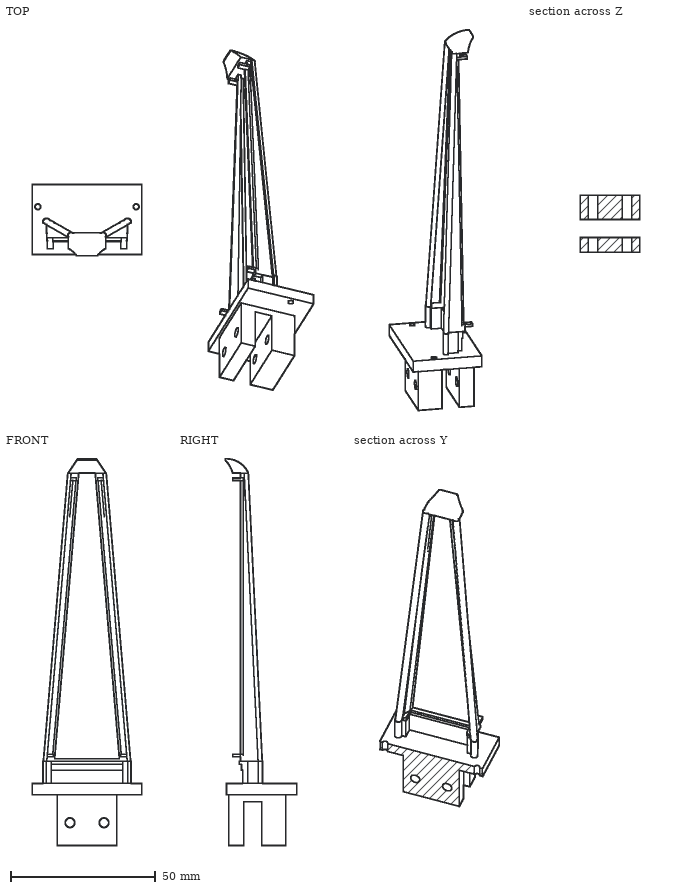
import cadquery as cq
import math

PLATE_X, PLATE_Y, PLATE_T = 38.1, 24.5, 4.0
PLATE_Z = 17.6
PLATE_TOP = PLATE_Z + PLATE_T
PLATE_HOLE_X, PLATE_HOLE_Y, PLATE_HOLE_D = 17.0, 4.4, 1.9

FORK_X = 20.8
FORK_BACK, FORK_FRONT = 8.5, -11.4
SLOT_BACK, SLOT_FRONT, SLOT_TOP = 0.0, -6.2, 15.2
FORK_HOLE_X, FORK_HOLE_Z, FORK_HOLE_D = 5.9, 7.9, 3.2

TOTAL_Z = 134.2
ARM_Z = 29.3
ARM_TOP = 129.3

SPINE_WIDTH, SPINE_DEPTH, SPINE_ROUND = 2.4, 1.5, 1.1
SPINE_OVERHANG = 1.2
ARM_WIDTH = 3.9
WALL_T = 0.8
RIB_SHARE = 0.4
ARM_OUTER_BASE, ARM_OUTER_TOP = 15.2, 6.7
ARM_BACK_BASE, ARM_BACK_TOP = 0.3, -4.5
ARM_FRONT = -7.4
FOOT_MARGIN = 0.1
FOOT_OUTER = ARM_OUTER_BASE + FOOT_MARGIN
FOOT_BACK = ARM_BACK_BASE + FOOT_MARGIN
FOOT_FRONT = -4.8

STEP_WIDTH, STEP_DEPTH = 1.9, 1.1

PIN_WIDTH, PIN_HEIGHT, PIN_FRONT = 2.0, 1.0, -10.1
LOW_PIN_Z, HIGH_PIN_Z = 31.3, 127.1

GUSSET_TOP = 31.3

BAR_HALF_X = 12.4
BAR_BACK, BAR_RIDGE_BACK = -4.7, -5.8
BAR_FACE, BAR_MID, BAR_LIP = -6.6, -7.0, -7.8
BAR_MID_Z, BAR_LIP_Z, BAR_TOP = 26.2, 28.2, 30.2

HOOK_BACK, HOOK_FRONT, HOOK_TIP = -4.5, -10.1, -12.6
HOOK_TIP_T = 0.5
HOOK_CROWN = (-7.1, 132.5)
HOOK_HOLLOW = (-11.0, 131.5)
HOOK_BASE_HALF_X, HOOK_TIP_HALF_X = 6.6, 3.2
HOOK_ROUND = 0.8


def block(x0, x1, y0, y1, z0, z1):
    """Axis-aligned box between two corners."""
    return cq.Workplane("XY").box(x1 - x0, y1 - y0, z1 - z0, centered=False).translate((x0, y0, z0))


def arm_place(z):
    """Outer X and back Y of the arm at height z."""
    t = (z - ARM_Z) / (ARM_TOP - ARM_Z)
    outer = ARM_OUTER_BASE + t * (ARM_OUTER_TOP - ARM_OUTER_BASE)
    back = ARM_BACK_BASE + t * (ARM_BACK_TOP - ARM_BACK_BASE)
    return outer, back


def arm_loft(make_outline):
    """Straight solid between the arm's outlines at its base and top."""
    wires = [make_outline(*arm_place(z), z).wires().val() for z in (ARM_Z, ARM_TOP)]
    return cq.Workplane(obj=cq.Solid.makeLoft(wires, True))


def spine_outline(outer, back, z):
    """Flat-fronted spine with a rounded back."""
    inner = outer - SPINE_WIDTH
    front = back - SPINE_DEPTH
    round_y = back - SPINE_ROUND
    bend = SPINE_ROUND * (1 - math.sqrt(0.5))
    return (
        cq.Workplane("XY", origin=(0, 0, z))
        .moveTo(inner, front)
        .lineTo(outer, front)
        .lineTo(outer, round_y)
        .threePointArc((outer - bend, back - bend), (outer - SPINE_ROUND, back))
        .lineTo(inner + SPINE_ROUND, back)
        .threePointArc((inner + bend, back - bend), (inner, round_y))
        .close()
    )


def wall_outline(outer, back, z):
    """Thin wall running forward from the spine, widened into the rib at the front."""
    face = outer - SPINE_OVERHANG
    inner = outer - ARM_WIDTH
    wall_back = back - SPINE_DEPTH / 2
    rib_back = ARM_FRONT + RIB_SHARE * (back - ARM_FRONT)
    points = [
        (face, wall_back),
        (face, ARM_FRONT),
        (inner, ARM_FRONT),
        (inner, rib_back),
        (face - WALL_T, rib_back),
        (face - WALL_T, wall_back),
    ]
    return cq.Workplane("XY", origin=(0, 0, z)).polyline(points).close()


def step_outline(outer, back, z):
    """Strip removed along the outer front edge of the arm."""
    inner = outer - SPINE_OVERHANG - STEP_WIDTH
    points = [
        (outer, ARM_FRONT - STEP_DEPTH),
        (outer, ARM_FRONT + STEP_DEPTH),
        (inner, ARM_FRONT + STEP_DEPTH),
        (inner, ARM_FRONT - STEP_DEPTH),
    ]
    return cq.Workplane("XY", origin=(0, 0, z)).polyline(points).close()


def make_pin(z):
    """Small rectangular pin standing forward from the front of the arm."""
    outer = arm_place(z)[0] - SPINE_OVERHANG
    root = ARM_FRONT + STEP_DEPTH
    half_height = PIN_HEIGHT / 2
    return block(outer - PIN_WIDTH, outer, PIN_FRONT, root, z - half_height, z + half_height)


def make_foot():
    """Upright start of the arm on the plate."""
    spine = spine_outline(FOOT_OUTER, FOOT_BACK, PLATE_TOP).extrude(ARM_Z - PLATE_TOP)
    face = FOOT_OUTER - SPINE_OVERHANG
    inner = FOOT_OUTER - ARM_WIDTH
    return spine.union(block(inner, face, FOOT_FRONT, FOOT_BACK - SPINE_DEPTH, PLATE_TOP, ARM_Z))


def make_gusset():
    """Wedge between wall, rib and spine, its top sloping down towards the wall."""
    top_inner = arm_place(GUSSET_TOP)[0] - ARM_WIDTH
    points = [
        (ARM_OUTER_BASE - ARM_WIDTH, ARM_Z),
        (ARM_OUTER_BASE - SPINE_OVERHANG - WALL_T, ARM_Z),
        (top_inner, GUSSET_TOP),
    ]
    back = ARM_BACK_BASE - SPINE_DEPTH
    return cq.Workplane("XZ", origin=(0, back, 0)).polyline(points).close().extrude(back - FOOT_FRONT)


def make_arm():
    """Right-hand arm with its foot, gusset and pins."""
    step_zone = block(0, PLATE_X, -PLATE_Y, PLATE_Y, LOW_PIN_Z, HIGH_PIN_Z)
    arm = arm_loft(wall_outline).cut(arm_loft(step_outline).intersect(step_zone))
    arm = arm.union(arm_loft(spine_outline)).union(make_foot()).union(make_gusset())
    for z in (LOW_PIN_Z, HIGH_PIN_Z):
        arm = arm.union(make_pin(z))
    return arm


def make_plate():
    """Flange plate with its two small holes."""
    plate = block(-PLATE_X / 2, PLATE_X / 2, -PLATE_Y / 2, PLATE_Y / 2, PLATE_Z, PLATE_TOP)
    holes = [(side * PLATE_HOLE_X, PLATE_HOLE_Y) for side in (-1, 1)]
    underside = cq.Workplane("XY", origin=(0, 0, PLATE_Z))
    drill = underside.pushPoints(holes).circle(PLATE_HOLE_D / 2).extrude(PLATE_T)
    return plate.cut(drill)


def make_fork():
    """Slotted mounting block with two cross holes through both legs."""
    fork = block(-FORK_X / 2, FORK_X / 2, FORK_FRONT, FORK_BACK, 0, PLATE_Z)
    fork = fork.cut(block(-FORK_X / 2, FORK_X / 2, SLOT_FRONT, SLOT_BACK, 0, SLOT_TOP))
    holes = [(side * FORK_HOLE_X, FORK_HOLE_Z) for side in (-1, 1)]
    drill = cq.Workplane("XZ").pushPoints(holes).circle(FORK_HOLE_D / 2).extrude(PLATE_Y, both=True)
    return fork.cut(drill)


def make_crossbar():
    """Bar between the feet, stepping forward to a lip below a narrower ridge."""
    profile = [
        (BAR_BACK, PLATE_TOP),
        (BAR_FACE, PLATE_TOP),
        (BAR_FACE, BAR_MID_Z),
        (BAR_MID, BAR_MID_Z),
        (BAR_MID, BAR_LIP_Z),
        (BAR_LIP, BAR_LIP_Z),
        (BAR_LIP, ARM_Z),
        (ARM_FRONT, ARM_Z),
        (ARM_FRONT, BAR_TOP),
        (BAR_RIDGE_BACK, BAR_TOP),
        (BAR_RIDGE_BACK, ARM_Z),
        (BAR_BACK, ARM_Z),
    ]
    return cq.Workplane("YZ").polyline(profile).close().extrude(BAR_HALF_X, both=True)


def make_hook():
    """Bridge curving forward to a thin tip, narrowing towards its top."""
    tip_low = TOTAL_Z - HOOK_TIP_T
    side = (
        cq.Workplane("YZ")
        .moveTo(HOOK_BACK, ARM_TOP)
        .threePointArc(HOOK_CROWN, (HOOK_TIP, TOTAL_Z))
        .lineTo(HOOK_TIP, tip_low)
        .threePointArc(HOOK_HOLLOW, (HOOK_FRONT, ARM_TOP))
        .close()
        .extrude(PLATE_X / 2, both=True)
    )
    taper = [
        (-HOOK_BASE_HALF_X, ARM_TOP),
        (HOOK_BASE_HALF_X, ARM_TOP),
        (HOOK_TIP_HALF_X, TOTAL_Z),
        (-HOOK_TIP_HALF_X, TOTAL_Z),
    ]
    front = cq.Workplane("XZ").polyline(taper).close().extrude(PLATE_Y, both=True)
    hook = side.intersect(front)
    crown_edges = cq.selectors.BoxSelector(
        (-HOOK_BASE_HALF_X, HOOK_FRONT, ARM_TOP + HOOK_ROUND),
        (HOOK_BASE_HALF_X, HOOK_BACK - HOOK_ROUND, TOTAL_Z),
    )
    return hook.edges(crown_edges).fillet(HOOK_ROUND)


arm = make_arm()
result = make_plate().union(make_fork()).union(make_crossbar()).union(make_hook())
result = result.union(arm).union(arm.mirror("YZ"))